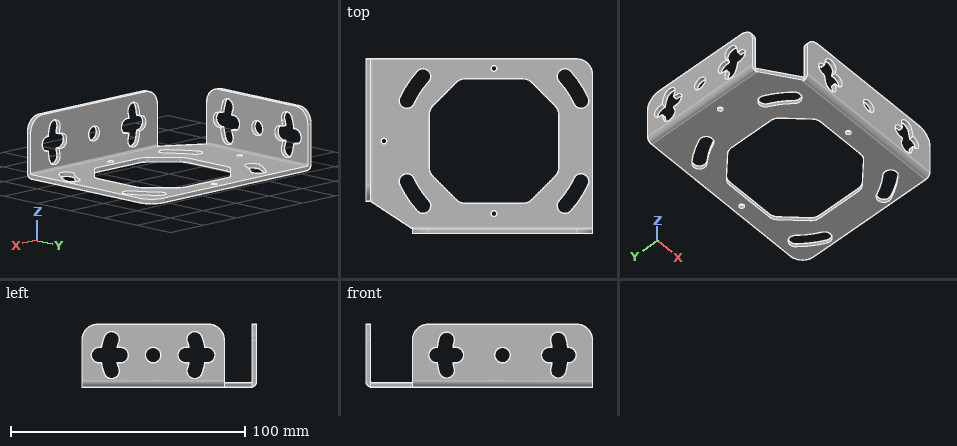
import cadquery as cq
import math

length = 96.9
depth = 74.7
height = 27.0
thickness = 2.0
inner_bend_radius = 0.6
outer_bend_radius = thickness + inner_bend_radius
corner_radius = 7.0

front_flange_start = 19.9
left_flange_start = 13.8
flange_hole_height = 13.8
slot_width = 6.5

front_slot_radius = 24.7
front_slot_half_angle = 15.3
front_straight_centre = 24.0
front_straight_length = 14.7

left_slot_radius = 19.0
left_slot_half_angle = 20.8
left_straight_centre = 18.5
left_straight_length = 15.7

centre_x = 54.75
centre_y = 39.5
opening_length = 55.1
opening_depth = 53.0
opening_chamfer = 13.0
opening_corner_radius = 5.0
plate_slot_radius = 41.0
plate_slot_start = 24.9
plate_slot_end = 42.3
pilot_diameter = 2.3
pilot_offset_y = 31.0
pilot_offset_x = 47.0


def polar(radius, angle):
    """Point at a radius and an angle in degrees."""
    return (radius * math.cos(math.radians(angle)), radius * math.sin(math.radians(angle)))


def curved_slot(workplane, pitch_radius, start, end):
    """Cutter for a round-ended slot along an arc around the workplane origin."""
    middle = (start + end) / 2
    inner = pitch_radius - slot_width / 2
    outer = pitch_radius + slot_width / 2
    tip_radius = math.hypot(pitch_radius, slot_width / 2)
    tip_angle = math.degrees(math.atan2(slot_width / 2, pitch_radius))
    return (
        workplane.moveTo(*polar(inner, start))
        .threePointArc(polar(inner, middle), polar(inner, end))
        .threePointArc(polar(tip_radius, end + tip_angle), polar(outer, end))
        .threePointArc(polar(outer, middle), polar(outer, start))
        .threePointArc(polar(tip_radius, start - tip_angle), polar(inner, start))
        .close()
        .extrude(thickness, both=True)
    )


def make_flange(span, slot_radius, slot_half_angle, straight_centre, straight_length):
    """Flange with its bend, centred on X = 0, outer face on Y = 0, underside on Z = 0."""
    outer_mid = outer_bend_radius * (1 - math.sqrt(0.5))
    inner_mid = outer_bend_radius - inner_bend_radius * math.sqrt(0.5)
    flange = (
        cq.Workplane("YZ")
        .moveTo(outer_bend_radius, 0)
        .threePointArc((outer_mid, outer_mid), (0, outer_bend_radius))
        .lineTo(0, height)
        .lineTo(thickness, height)
        .lineTo(thickness, outer_bend_radius)
        .threePointArc((inner_mid, inner_mid), (outer_bend_radius, thickness))
        .close()
        .extrude(span / 2, both=True)
    )
    flange = flange.faces(">Z").edges("|Y").fillet(corner_radius)

    face = cq.Workplane("XZ", origin=(0, 0, flange_hole_height))
    flange = flange.cut(face.circle(slot_width / 2).extrude(thickness, both=True))
    straight_slots = (
        face.pushPoints([(-straight_centre, 0), (straight_centre, 0)])
        .slot2D(straight_length, slot_width)
        .extrude(thickness, both=True)
    )
    flange = flange.cut(straight_slots)
    for direction in (0, 180):
        flange = flange.cut(
            curved_slot(face, slot_radius, direction - slot_half_angle, direction + slot_half_angle)
        )
    return flange


def make_plate():
    """Flat base inside the two bends, its bevel running between the flanges' inner faces."""
    plate = (
        cq.Workplane("XY")
        .moveTo(thickness, left_flange_start)
        .lineTo(outer_bend_radius, left_flange_start)
        .lineTo(outer_bend_radius, depth)
        .lineTo(length, depth)
        .lineTo(length, outer_bend_radius)
        .lineTo(front_flange_start, outer_bend_radius)
        .lineTo(front_flange_start, thickness)
        .close()
        .extrude(thickness)
    )
    plate = plate.edges("|Z and >X and >Y").fillet(corner_radius)

    centre = cq.Workplane("XY", origin=(centre_x, centre_y, 0))
    opening = (
        centre.rect(opening_length, opening_depth)
        .extrude(thickness)
        .edges("|Z")
        .chamfer(opening_chamfer)
        .edges("|Z")
        .fillet(opening_corner_radius)
    )
    plate = plate.cut(opening)

    pilot_places = [(0, pilot_offset_y), (0, -pilot_offset_y), (-pilot_offset_x, 0)]
    plate = plate.cut(centre.pushPoints(pilot_places).circle(pilot_diameter / 2).extrude(thickness))

    for start, end in (
        (plate_slot_start, plate_slot_end),
        (180 - plate_slot_end, 180 - plate_slot_start),
        (180 + plate_slot_start, 180 + plate_slot_end),
        (-plate_slot_end, -plate_slot_start),
    ):
        plate = plate.cut(curved_slot(centre, plate_slot_radius, start, end))
    return plate


front_flange = make_flange(
    length - front_flange_start,
    front_slot_radius,
    front_slot_half_angle,
    front_straight_centre,
    front_straight_length,
).translate(((front_flange_start + length) / 2, 0, 0))

left_flange = (
    make_flange(
        depth - left_flange_start,
        left_slot_radius,
        left_slot_half_angle,
        left_straight_centre,
        left_straight_length,
    )
    .rotate((0, 0, 0), (0, 0, 1), -90)
    .translate((0, (left_flange_start + depth) / 2, 0))
)

result = make_plate().union(front_flange).union(left_flange)